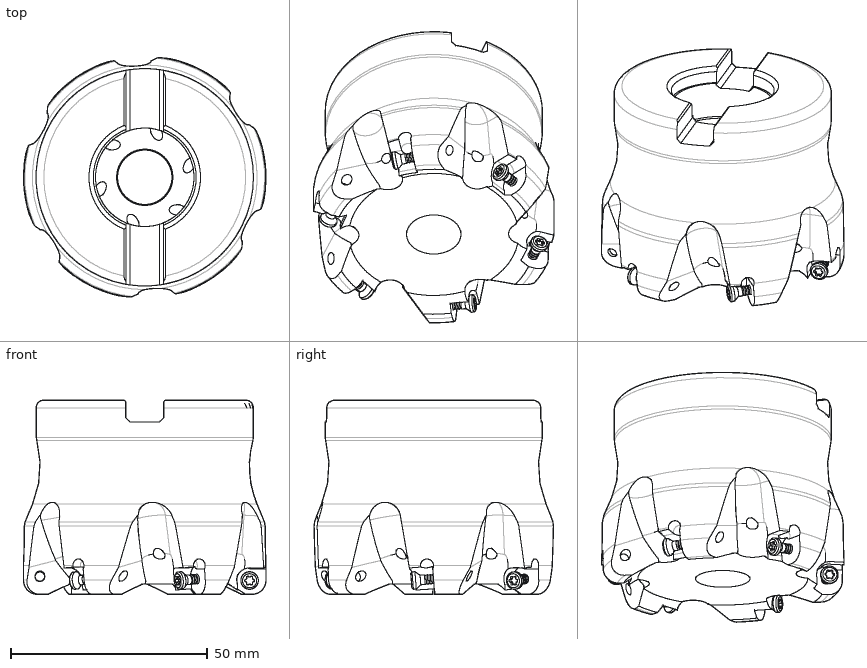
import cadquery as cq
import math

TOOTH_COUNT = 6
TOOTH_STEP = 360 / TOOTH_COUNT

HEIGHT = 49.6
CUTTING_RADIUS = 30.95
CORNER_RADIUS = 3.65
LAND_TOP = 7.35
SHOULDER_RADIUS = 30.75
SHOULDER_BOTTOM = 17.45
CONE_BOTTOM_RADIUS = 30.6
CONE_BOTTOM = 18.5
CONE_TOP_RADIUS = 28.65
CONE_TOP = 23.1
WAIST_RADIUS = 26.75
WAIST_Z = 32.8
HUB_RADIUS = 27.75
COLLAR_RADIUS = 27.6
COLLAR_BOTTOM = 39.25
HUB_BOTTOM = 40.05
HUB_FILLET = 2.0

MOUTH_RADIUS = 13.1
MOUTH_CHAMFER = 1.1
MOUTH_DEPTH = 4.1
BORE_RADIUS = 12.55
RELIEVED_BORE_RADIUS = 12.9
RELIEVED_BORE_DEPTH = 13.2
RELIEVED_BORE_STEP = 0.6
BORE_FLOOR = 21.05
BOLT_HOLE_RADIUS = 6.95
BOLT_HOLE_CHAMFER = 0.25
DISH_RIM_RADIUS = 25.75
DISH_FLOOR_RADIUS = 21.65
DISH_DEPTH = 2.65

SLOT_WIDTH = 9.65
SLOT_DEPTH = 5.6
SLOT_FLOOR_CHAMFER = 1.05
SLOT_EDGE_CHAMFER = 0.45

GULLET_RADIUS = 3.95
GULLET_TOP = cq.Vector(25.3, -12.45, 19.55)
GULLET_LEAN = cq.Vector(-1.0, 3.1, -18.0)
GULLET_LENGTH = 30.95
THROAT_DROP = 10.5
THROAT_LEAN = cq.Vector(-5.0, 4.2, -12.0)

HEEL_UPPER_POINT = cq.Vector(24.6, -16.4, 18.6)
HEEL_UPPER_NORMAL = cq.Vector(0.99, 0.16, -0.21)
HEEL_LOWER_POINT = cq.Vector(23.0, -20.7, 7.4)
HEEL_LOWER_NORMAL = cq.Vector(0.88, 0.2, -0.43)
HEEL_TOP = 20.4
HEEL_FRONT = -10.5

COOLANT_RADIUS = 1.3
COOLANT_START = cq.Vector(8.3, -8.3, BORE_FLOOR)
COOLANT_END = cq.Vector(22.4, -8.3, 9.6)
COOLANT_OVERRUN = 2.5

SEAT_CENTRE = cq.Vector(26.75, -0.05, 3.95)
SCREW_TILT = 0.08
POCKET_RADIUS = 3.3
POCKET_MOUTH_START = -3.1
POCKET_LENGTH = 9.9
POCKET_REACH = 7.4
RELIEF_RADIUS = 1.7
RELIEF_Z = 7.35
RELIEF_START = 26.9

SHANK_RADIUS = 1.25
SCREW_BURIED_LENGTH = 6.8
HEAD_TOP = 5.7
HEAD_RADIUS = 2.2
HEAD_CROWN_RADIUS = 1.8
HEAD_CROWN_HEIGHT = 0.4
HEAD_RIM_HEIGHT = 0.75
HEAD_CONE_HEIGHT = 1.25
THREAD_DEPTH = 0.2
THREAD_PITCH = 0.75
THREAD_COUNT = 3
SOCKET_DEPTH = 0.9
SOCKET_RADIUS = 0.9
SOCKET_LOBE_RADIUS = 0.3
SOCKET_LOBE_COUNT = 6

BIG = 37.15


def around_axis(shape):
    """Copies of a shape at every tooth position."""
    return [
        shape.rotate(cq.Vector(0, 0, 0), cq.Vector(0, 0, 1), i * TOOTH_STEP)
        for i in range(TOOTH_COUNT)
    ]


def seat_plane():
    """Plane of the insert seat; its normal is the screw axis, pointing out of the tooth."""
    return cq.Plane(SEAT_CENTRE, xDir=(1, 0, 0), normal=(0, -1, -SCREW_TILT))


def make_blank():
    """Turned body with its bore and dished end."""
    corner_mid = CORNER_RADIUS * (1 - math.sqrt(0.5))
    hub_mid = HUB_FILLET * (1 - math.sqrt(0.5))
    return (
        cq.Workplane("XZ")
        .moveTo(BOLT_HOLE_RADIUS, DISH_DEPTH)
        .lineTo(DISH_FLOOR_RADIUS, DISH_DEPTH)
        .lineTo(DISH_RIM_RADIUS, 0)
        .lineTo(CUTTING_RADIUS - CORNER_RADIUS, 0)
        .threePointArc((CUTTING_RADIUS - corner_mid, corner_mid), (CUTTING_RADIUS, CORNER_RADIUS))
        .lineTo(CUTTING_RADIUS, LAND_TOP)
        .lineTo(SHOULDER_RADIUS, SHOULDER_BOTTOM)
        .lineTo(CONE_BOTTOM_RADIUS, CONE_BOTTOM)
        .lineTo(CONE_TOP_RADIUS, CONE_TOP)
        .threePointArc((WAIST_RADIUS, WAIST_Z), (COLLAR_RADIUS, COLLAR_BOTTOM))
        .lineTo(HUB_RADIUS, HUB_BOTTOM)
        .lineTo(HUB_RADIUS, HEIGHT - HUB_FILLET)
        .threePointArc((HUB_RADIUS - hub_mid, HEIGHT - hub_mid), (HUB_RADIUS - HUB_FILLET, HEIGHT))
        .lineTo(MOUTH_RADIUS + MOUTH_CHAMFER, HEIGHT)
        .lineTo(MOUTH_RADIUS, HEIGHT - MOUTH_CHAMFER)
        .lineTo(MOUTH_RADIUS, HEIGHT - MOUTH_DEPTH)
        .lineTo(BORE_RADIUS, HEIGHT - MOUTH_DEPTH)
        .lineTo(BORE_RADIUS, HEIGHT - RELIEVED_BORE_DEPTH)
        .lineTo(RELIEVED_BORE_RADIUS, HEIGHT - RELIEVED_BORE_DEPTH - RELIEVED_BORE_STEP)
        .lineTo(RELIEVED_BORE_RADIUS, BORE_FLOOR)
        .lineTo(BOLT_HOLE_RADIUS + BOLT_HOLE_CHAMFER, BORE_FLOOR)
        .lineTo(BOLT_HOLE_RADIUS, BORE_FLOOR - BOLT_HOLE_CHAMFER)
        .close()
        .revolve(360, (0, 0, 0), (0, 1, 0))
    )


def make_drive_slot():
    """Slot along Y with chamfered floor corners and chamfered top edges."""
    half = SLOT_WIDTH / 2
    floor = HEIGHT - SLOT_DEPTH
    right_side = [
        (half - SLOT_FLOOR_CHAMFER, floor),
        (half, floor + SLOT_FLOOR_CHAMFER),
        (half, HEIGHT - SLOT_EDGE_CHAMFER),
        (half + SLOT_EDGE_CHAMFER, HEIGHT),
    ]
    left_side = [(-x, z) for x, z in reversed(right_side)]
    return cq.Workplane("XZ").polyline(right_side + left_side).close().extrude(BIG, both=True)


def make_gullet():
    """Ball-ended channel with a throat that bends inward, opened outward to the tooth flank."""
    down = GULLET_LEAN.normalized()
    sideways = down.cross(cq.Vector(1, 0, 0)).normalized()
    outward = sideways.cross(down)
    channel = cq.Solid.makeCylinder(GULLET_RADIUS, GULLET_LENGTH, GULLET_TOP, down)
    throat_start = GULLET_TOP + down * THROAT_DROP
    throat = cq.Solid.makeCylinder(GULLET_RADIUS, GULLET_LENGTH, throat_start, THROAT_LEAN)
    throat_bend = cq.Workplane("XY").sphere(GULLET_RADIUS).translate(throat_start).val()
    ball = cq.Workplane("XY").sphere(GULLET_RADIUS).translate(GULLET_TOP).val()
    opening = (
        cq.Workplane(cq.Plane(GULLET_TOP, xDir=down, normal=outward))
        .moveTo(0, GULLET_RADIUS)
        .lineTo(GULLET_LENGTH, GULLET_RADIUS)
        .lineTo(GULLET_LENGTH, -GULLET_RADIUS)
        .lineTo(0, -GULLET_RADIUS)
        .threePointArc((-GULLET_RADIUS, 0), (0, GULLET_RADIUS))
        .close()
        .extrude(BIG)
    )
    gullet = opening
    for part in (channel, ball, throat, throat_bend):
        gullet = gullet.union(cq.Workplane(part))
    return gullet.val()


def make_heel_cut(point, normal):
    """Everything outside a heel face, within the height and width of the gullet."""
    outside = cq.Workplane(cq.Plane(point, normal=normal)).rect(2 * BIG, 2 * BIG).extrude(BIG)
    limit = (
        cq.Workplane("XY")
        .box(BIG, BIG, BIG, centered=False)
        .translate((0, HEEL_FRONT - BIG, HEEL_TOP - BIG))
    )
    return outside.intersect(limit).val()


def make_coolant_hole():
    """Slanted hole that starts inside the bore."""
    path = COOLANT_END - COOLANT_START
    start = COOLANT_START - path.normalized() * COOLANT_OVERRUN
    return cq.Solid.makeCylinder(COOLANT_RADIUS, path.Length + COOLANT_OVERRUN, start, path)


def make_insert_pocket():
    """Round-walled pocket, open to the flank and to the cutting end, with a corner relief."""
    round_wall = cq.Workplane(seat_plane()).circle(POCKET_RADIUS).extrude(POCKET_LENGTH)
    flank_opening = (
        cq.Workplane(seat_plane())
        .moveTo(0, POCKET_RADIUS)
        .lineTo(POCKET_REACH, POCKET_RADIUS)
        .lineTo(POCKET_REACH, -POCKET_REACH)
        .lineTo(POCKET_MOUTH_START, -POCKET_REACH)
        .lineTo(POCKET_MOUTH_START, 0)
        .lineTo(0, 0)
        .close()
        .extrude(POCKET_LENGTH)
    )
    relief_y = SEAT_CENTRE.y - RELIEF_RADIUS
    relief_end = cq.Vector(RELIEF_START, relief_y, RELIEF_Z)
    relief = cq.Solid.makeCylinder(RELIEF_RADIUS, POCKET_REACH, relief_end, cq.Vector(1, 0, 0))
    relief_ball = cq.Workplane("XY").sphere(RELIEF_RADIUS).translate(relief_end)
    return round_wall.union(flank_opening).union(cq.Workplane(relief)).union(relief_ball).val()


def make_screw_hole():
    """Hole from the seat right through to the heel face of the tooth."""
    return cq.Workplane(seat_plane()).circle(SHANK_RADIUS).extrude(-BIG / 2).val()


def make_cutter_body():
    cuts = [
        make_gullet(),
        make_heel_cut(HEEL_UPPER_POINT, HEEL_UPPER_NORMAL),
        make_heel_cut(HEEL_LOWER_POINT, HEEL_LOWER_NORMAL),
        make_coolant_hole(),
        make_insert_pocket(),
        make_screw_hole(),
    ]
    body = make_blank().cut(make_drive_slot())
    for cut in cuts:
        for copy in around_axis(cut):
            body = body.cut(cq.Workplane(copy))
    return body


def make_screw():
    """Countersunk screw with a lobed socket and thread grooves below the head."""
    rim_top = HEAD_TOP - HEAD_CROWN_HEIGHT
    rim_bottom = rim_top - HEAD_RIM_HEIGHT
    cone_bottom = rim_bottom - HEAD_CONE_HEIGHT
    profile = (
        cq.Workplane("XZ")
        .moveTo(0, -SCREW_BURIED_LENGTH)
        .lineTo(SHANK_RADIUS, -SCREW_BURIED_LENGTH)
        .lineTo(SHANK_RADIUS, 0)
    )
    for i in range(THREAD_COUNT):
        groove = (i + 0.5) * THREAD_PITCH
        profile = profile.lineTo(SHANK_RADIUS - THREAD_DEPTH, groove)
        profile = profile.lineTo(SHANK_RADIUS, groove + THREAD_PITCH / 2)
    screw = (
        profile.lineTo(SHANK_RADIUS, cone_bottom)
        .lineTo(HEAD_RADIUS, rim_bottom)
        .lineTo(HEAD_RADIUS, rim_top)
        .lineTo(HEAD_CROWN_RADIUS, HEAD_TOP)
        .lineTo(0, HEAD_TOP)
        .close()
        .revolve(360, (0, 0, 0), (0, 1, 0))
    )
    socket = cq.Workplane("XY", origin=(0, 0, HEAD_TOP)).circle(SOCKET_RADIUS).extrude(-SOCKET_DEPTH)
    lobes = (
        cq.Workplane("XY", origin=(0, 0, HEAD_TOP))
        .polarArray(SOCKET_RADIUS, 0, 360, SOCKET_LOBE_COUNT)
        .circle(SOCKET_LOBE_RADIUS)
        .extrude(-SOCKET_DEPTH)
    )
    return screw.cut(socket).cut(lobes).val().moved(cq.Location(seat_plane()))


cutter_body = make_cutter_body()
screws = around_axis(make_screw())

result = cq.Compound.makeCompound([cutter_body.val(), *screws])